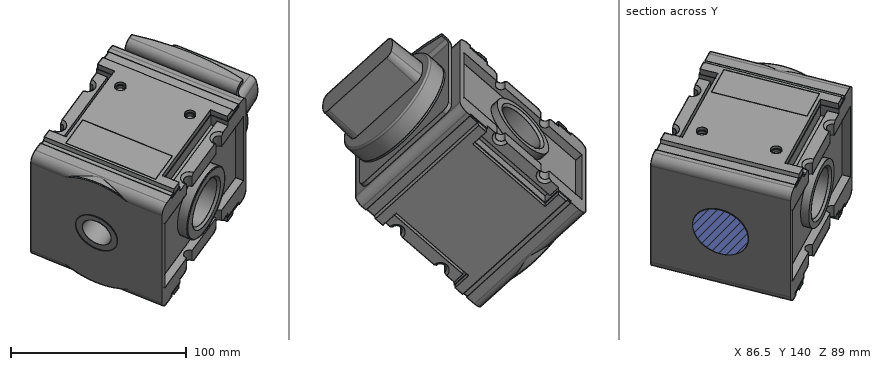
import cadquery as cq
import math

BODY_X = 85.0
BODY_Y = 100.0
BODY_Z = 85.0
BODY_EDGE_RADIUS = 5.5
HALF_X = BODY_X / 2
HALF_Y = BODY_Y / 2
HALF_Z = BODY_Z / 2

PLATE_X = 84.0
PLATE_FRONT_Y = -38.3
PLATE_BACK_Y = 41.7
PLATE_SEAT_Z = 40.5
PLATE_SINK = 0.2
PLATE_TOP_Z = 44.5
PAD_HALF_Y = 34.7
PAD_SLOPE = 1.0

NOTCH_WIDTH = 11.1
NOTCH_LENGTH = 56.8
NOTCH_PLATE_SETBACK = 0.3
NOTCH_FLOOR_Z = 37.3
GROOVE_WIDTH = 4.0
GROOVE_DEPTH = 5.0

SCREW_DIAMETER = 6.5
SCREW_SINK_DIAMETER = 10.0
SCREW_SPACING_Y = 35.0

POCKET_DEPTH = 5.0
POCKET_Y = 93.6
POCKET_Z = 54.2
COLLAR_DIAMETER = 41.0
SEAL_COLLAR_DIAMETER = 45.0
SEAL_COLLAR_REACH = 1.5
SEAL_COLLAR_CHAMFER = 0.5
PORT_DIAMETER = 30.29
PORT_MOUTH_DIAMETER = 33.3
PORT_DEPTH = 18.0

LAND_DIAMETER = 84.9
LAND_CHAMFER = 0.5
LAND_LENGTH = 6.0
GAUGE_DIAMETER = 18.63
GAUGE_DEPTH = 14.0
GAUGE_RING_DIAMETER = 27.0
GAUGE_RING_DEPTH = 0.5

PIN_HOLE_SPACING = 45.0
PIN_HOLE_Y = 20.0
PIN_HOLE_DIAMETER = 4.92
PIN_HOLE_MOUTH = 6.5
PIN_HOLE_MOUTH_DEPTH = 2.0
PIN_HOLE_DEPTH = 4.0
LABEL_X = 58.0
LABEL_Y = 20.2
LABEL_CENTER_Y = -22.9
LABEL_DEPTH = 0.2

BRACKET_X = 72.0
BRACKET_GAP = 0.4
BRACKET_THICKNESS = 2.6
BRACKET_TOP_Z = 44.2
BRACKET_BOTTOM_Z = -37.2
BRACKET_CORNER_RADIUS = 5.0
BRACKET_LIP_Y = 62.0
BRACKET_LIP_RISE = 3.8
BEND_OUTER_RADIUS = 5.0

SPINDLE_DIAMETER = 34.0
DISC_DIAMETER = 70.0
DISC_START_Y = 54.5
DISC_END_Y = 67.0
DISC_EDGE_RADIUS = 1.2
DISC_RIM_DIAMETER = 69.7
DISC_RIM_LENGTH = 1.2
HANDLE_END_Y = 90.0
HANDLE_RADIUS = 29.5
HANDLE_HALF_THICKNESS = 11.6
HANDLE_EDGE_RADIUS = 5.1
HANDLE_DRAFT = 2.75


def box_between(x_range, y_range, z_range):
    """Axis-aligned box given by its limits along each axis."""
    sizes = [high - low for low, high in (x_range, y_range, z_range)]
    lows = (x_range[0], y_range[0], z_range[0])
    return cq.Workplane("XY").box(*sizes, centered=False).translate(lows)


def cylinder(start, direction, diameter, length, end_diameter=None):
    """Cylinder, or a cone when an end diameter is given."""
    origin = cq.Vector(*start)
    axis = cq.Vector(*direction)
    if end_diameter is None:
        solid = cq.Solid.makeCylinder(diameter / 2, length, origin, axis)
    else:
        solid = cq.Solid.makeCone(diameter / 2, end_diameter / 2, length, origin, axis)
    return cq.Workplane(obj=solid)


def top_and_bottom(shape):
    """The shape together with its mirror image below the XY plane."""
    return shape.union(shape.mirror("XY"))


def four_sided(shape):
    """The shape repeated on both X sides and on top and bottom."""
    return top_and_bottom(shape.union(shape.mirror("YZ")))


def make_block():
    block = cq.Workplane("XY").box(BODY_X, BODY_Y, BODY_Z)
    block = block.edges("|X").fillet(BODY_EDGE_RADIUS)
    land = cylinder((0, -HALF_Y, 0), (0, 1, 0), LAND_DIAMETER, LAND_LENGTH)
    land = land.faces("<Y").chamfer(LAND_CHAMFER)
    return block.union(land)


def add_cover_plates(body):
    y_range = (PLATE_FRONT_Y, PLATE_BACK_Y)
    seat = box_between((-HALF_X, HALF_X), y_range, (PLATE_SEAT_Z, HALF_Z))
    foot_y = PAD_HALF_Y + PAD_SLOPE
    foot_z = HALF_Z - PLATE_SINK
    plate = (
        cq.Workplane("YZ", origin=(-PLATE_X / 2, 0, 0))
        .moveTo(PLATE_FRONT_Y, PLATE_SEAT_Z)
        .lineTo(PLATE_FRONT_Y, foot_z)
        .lineTo(-foot_y, foot_z)
        .lineTo(-PAD_HALF_Y, PLATE_TOP_Z)
        .lineTo(PAD_HALF_Y, PLATE_TOP_Z)
        .lineTo(foot_y, foot_z)
        .lineTo(PLATE_BACK_Y, foot_z)
        .lineTo(PLATE_BACK_Y, PLATE_SEAT_Z)
        .close()
        .extrude(PLATE_X)
    )
    return body.cut(top_and_bottom(seat)).union(top_and_bottom(plate))


def cut_notches(body):
    """Clamp notches, slightly wider through the plate, with a groove along the inner wall."""
    half_y = NOTCH_LENGTH / 2
    y_range = (-half_y, half_y)
    inner_x = HALF_X - NOTCH_WIDTH
    notch = box_between((inner_x, HALF_X), y_range, (NOTCH_FLOOR_Z, PLATE_SEAT_Z))
    plate_notch = box_between(
        (inner_x - NOTCH_PLATE_SETBACK, HALF_X),
        (-half_y - NOTCH_PLATE_SETBACK, half_y + NOTCH_PLATE_SETBACK),
        (PLATE_SEAT_Z, PLATE_TOP_Z),
    )
    groove_bottom = NOTCH_FLOOR_Z - GROOVE_DEPTH
    groove = box_between((inner_x, inner_x + GROOVE_WIDTH), y_range, (groove_bottom, NOTCH_FLOOR_Z))
    return body.cut(four_sided(notch.union(plate_notch).union(groove)))


def cut_side_pockets(body):
    pocket = box_between(
        (HALF_X - POCKET_DEPTH, HALF_X),
        (-POCKET_Y / 2, POCKET_Y / 2),
        (-POCKET_Z / 2, POCKET_Z / 2),
    )
    return body.cut(pocket).cut(pocket.mirror("YZ"))


def cut_screw_passages(body):
    sink_depth = (SCREW_SINK_DIAMETER - SCREW_DIAMETER) / 2
    length = NOTCH_FLOOR_Z - POCKET_Z / 2
    for y in (-SCREW_SPACING_Y / 2, SCREW_SPACING_Y / 2):
        top = (HALF_X, y, NOTCH_FLOOR_Z)
        passage = cylinder(top, (0, 0, -1), SCREW_DIAMETER, length)
        sink = cylinder(top, (0, 0, -1), SCREW_SINK_DIAMETER, sink_depth, SCREW_DIAMETER)
        body = body.cut(four_sided(passage.union(sink)))
    return body


def add_side_ports(body):
    floor_x = HALF_X - POCKET_DEPTH
    body = body.union(cylinder((-floor_x, 0, 0), (-1, 0, 0), COLLAR_DIAMETER, POCKET_DEPTH))
    seal_length = POCKET_DEPTH + SEAL_COLLAR_REACH
    seal = cylinder((floor_x, 0, 0), (1, 0, 0), SEAL_COLLAR_DIAMETER, seal_length)
    body = body.union(seal.faces(">X").chamfer(SEAL_COLLAR_CHAMFER))

    mouth_depth = (PORT_MOUTH_DIAMETER - PORT_DIAMETER) / 2
    for side, face_x in ((-1, HALF_X), (1, HALF_X + SEAL_COLLAR_REACH)):
        face = (side * face_x, 0, 0)
        inward = (-side, 0, 0)
        bore = cylinder(face, inward, PORT_DIAMETER, PORT_DEPTH)
        mouth = cylinder(face, inward, PORT_MOUTH_DIAMETER, mouth_depth, PORT_DIAMETER)
        body = body.cut(bore.union(mouth))
    return body


def cut_gauge_port(body):
    face = (0, -HALF_Y, 0)
    bore = cylinder(face, (0, 1, 0), GAUGE_DIAMETER, GAUGE_DEPTH)
    ring = cylinder(face, (0, 1, 0), GAUGE_RING_DIAMETER, GAUGE_RING_DEPTH)
    return body.cut(bore.union(ring))


def cut_top_details(body):
    for x in (-PIN_HOLE_SPACING / 2, PIN_HOLE_SPACING / 2):
        top = (x, PIN_HOLE_Y, PLATE_TOP_Z)
        hole = cylinder(top, (0, 0, -1), PIN_HOLE_DIAMETER, PIN_HOLE_DEPTH)
        mouth = cylinder(top, (0, 0, -1), PIN_HOLE_MOUTH, PIN_HOLE_MOUTH_DEPTH)
        body = body.cut(hole.union(mouth))
    label = box_between(
        (-LABEL_X / 2, LABEL_X / 2),
        (LABEL_CENTER_Y - LABEL_Y / 2, LABEL_CENTER_Y + LABEL_Y / 2),
        (PLATE_TOP_Z - LABEL_DEPTH, PLATE_TOP_Z),
    )
    return body.cut(label)


def make_bracket():
    """L-shaped sheet with a bowed lip edge and rounded bottom corners."""
    half_x = BRACKET_X / 2
    lip_bottom_z = BRACKET_TOP_Z - BRACKET_THICKNESS
    inner_y = HALF_Y + BRACKET_GAP
    outer_y = inner_y + BRACKET_THICKNESS
    sheet = (
        cq.Workplane("YZ", origin=(-half_x, 0, 0))
        .moveTo(inner_y, BRACKET_BOTTOM_Z)
        .lineTo(inner_y, BRACKET_TOP_Z)
        .lineTo(BRACKET_LIP_Y, BRACKET_TOP_Z)
        .lineTo(BRACKET_LIP_Y, lip_bottom_z)
        .lineTo(outer_y, lip_bottom_z)
        .lineTo(outer_y, BRACKET_BOTTOM_Z)
        .close()
        .extrude(BRACKET_X)
    )
    sheet = sheet.edges("|X and <Y and >Z").fillet(BEND_OUTER_RADIUS)
    inner_corner = cq.selectors.NearestToPointSelector((0, outer_y, lip_bottom_z))
    sheet = sheet.edges(inner_corner).fillet(BEND_OUTER_RADIUS - BRACKET_THICKNESS)

    sheet = sheet.edges("|Y and <Z").fillet(BRACKET_CORNER_RADIUS)
    lip_side_y = BRACKET_LIP_Y - BRACKET_LIP_RISE
    top_outline = (
        cq.Workplane("XY", origin=(0, 0, BRACKET_BOTTOM_Z))
        .moveTo(-half_x, HALF_Y)
        .lineTo(-half_x, lip_side_y)
        .threePointArc((0, BRACKET_LIP_Y), (half_x, lip_side_y))
        .lineTo(half_x, HALF_Y)
        .close()
        .extrude(BRACKET_TOP_Z - BRACKET_BOTTOM_Z)
    )
    return sheet.intersect(top_outline)


def make_knob():
    spindle = cylinder((0, HALF_Y, 0), (0, 1, 0), SPINDLE_DIAMETER, DISC_START_Y - HALF_Y)
    rim = cylinder((0, DISC_START_Y, 0), (0, 1, 0), DISC_RIM_DIAMETER, DISC_RIM_LENGTH)
    step_y = DISC_START_Y + DISC_RIM_LENGTH
    disc = cylinder((0, step_y, 0), (0, 1, 0), DISC_DIAMETER, DISC_END_Y - step_y)
    disc = disc.faces(">Y").fillet(DISC_EDGE_RADIUS)
    return spindle.union(rim).union(disc).union(make_handle())


def make_handle():
    """Drafted grip: a round plan cut by two flats, with rounded corners."""
    r = HANDLE_EDGE_RADIUS
    corner_z = HANDLE_HALF_THICKNESS - r
    corner_x = math.sqrt((HANDLE_RADIUS - r) ** 2 - corner_z ** 2)
    end_angle = math.atan2(corner_z, corner_x)
    end_x = HANDLE_RADIUS * math.cos(end_angle)
    end_z = HANDLE_RADIUS * math.sin(end_angle)
    mid_angle = (end_angle + math.pi / 2) / 2
    mid_x = corner_x + r * math.cos(mid_angle)
    mid_z = corner_z + r * math.sin(mid_angle)
    flat_z = HANDLE_HALF_THICKNESS
    return (
        cq.Workplane("XZ", origin=(0, DISC_END_Y, 0))
        .moveTo(-corner_x, flat_z)
        .lineTo(corner_x, flat_z)
        .threePointArc((mid_x, mid_z), (end_x, end_z))
        .threePointArc((HANDLE_RADIUS, 0), (end_x, -end_z))
        .threePointArc((mid_x, -mid_z), (corner_x, -flat_z))
        .lineTo(-corner_x, -flat_z)
        .threePointArc((-mid_x, -mid_z), (-end_x, -end_z))
        .threePointArc((-HANDLE_RADIUS, 0), (-end_x, end_z))
        .threePointArc((-mid_x, mid_z), (-corner_x, flat_z))
        .close()
        .extrude(DISC_END_Y - HANDLE_END_Y, taper=HANDLE_DRAFT)
    )


body = make_block()
body = add_cover_plates(body)
body = cut_notches(body)
body = cut_side_pockets(body)
body = cut_screw_passages(body)
body = add_side_ports(body)
body = cut_gauge_port(body)
body = cut_top_details(body)
result = body.union(make_bracket()).union(make_knob())